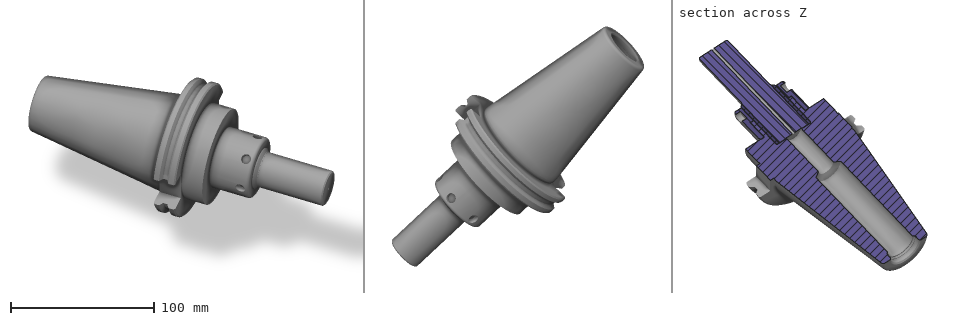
import cadquery as cq
import math

overall_length = 217.8

gauge_diameter = 70.0
gauge_x = 101.7
taper_per_length = 7 / 24
rear_round = 2.2
flange_diameter = 97.5
flange_start_x = 104.7
flange_end_x = 120.9
flange_chamfer = 0.98
neck_depth = 0.5
neck_width = 1.5
groove_center_x = 112.5
groove_floor_width = 3.0
groove_floor_diameter = 91.7
groove_half_angle = 35
collar_end_x = 136.8

slot_width = 25.7
slot_floor_plus_y = 37.7
slot_floor_minus_y = 35.3

mouth_diameter = 27.0
pilot_diameter = 25.0
pilot_depth = 4.4
step_diameter = 24.0
step_depth = 5.9
bore_diameter = 22.0
bore_depth = 87.0
bore_tip_half_angle = 59
through_hole_diameter = 13.0

nose_diameter = 37.0
nose_end_x = 152.5
socket_floor_x = 126.3

nut_diameter = 44.2
nut_end_x = 166.2
nut_front_round = 2.0
nut_rear_chamfer = 0.9
wrench_hole_count = 6
wrench_hole_diameter = 7.0
wrench_hole_depth = 4.4
wrench_hole_x = 160.3

collet_diameter = 30.0
collet_shoulder_x = 167.0
collet_land_x = 168.8
collet_tip_x = 169.5
collet_tip_diameter = 26.0

shank_diameter = 25.5
shank_chamfer = 0.9
coolant_hole_diameter = 2.0


def turned(profile):
    """Solid of revolution about X from a closed (x, radius) outline."""
    return profile.close().revolve(360, (0, 0, 0), (1, 0, 0))


def cylinder(diameter, start_x, end_x):
    """Cylinder on the X axis."""
    return cq.Workplane("YZ", origin=(start_x, 0, 0)).circle(diameter / 2).extrude(end_x - start_x)


def taper_and_collar():
    gauge_radius = gauge_diameter / 2
    rear_radius = gauge_radius - gauge_x * taper_per_length / 2
    neck_radius = gauge_radius - neck_depth
    outline = (
        cq.Workplane("XY")
        .lineTo(0, rear_radius)
        .lineTo(gauge_x, gauge_radius)
        .lineTo(flange_start_x - neck_width, gauge_radius)
        .lineTo(flange_start_x, neck_radius)
        .lineTo(flange_end_x, neck_radius)
        .lineTo(flange_end_x + neck_width, gauge_radius)
        .lineTo(collar_end_x, gauge_radius)
        .lineTo(collar_end_x, 0)
    )
    return turned(outline).faces("<X").edges().fillet(rear_round)


def gripper_groove():
    rim_radius = flange_diameter / 2
    floor_radius = groove_floor_diameter / 2
    floor_half = groove_floor_width / 2
    rim_half = floor_half + (rim_radius - floor_radius) * math.tan(math.radians(groove_half_angle))
    outline = (
        cq.Workplane("XY")
        .moveTo(groove_center_x - rim_half, rim_radius)
        .lineTo(groove_center_x - floor_half, floor_radius)
        .lineTo(groove_center_x + floor_half, floor_radius)
        .lineTo(groove_center_x + rim_half, rim_radius)
    )
    return turned(outline)


def drive_slot(side, floor_y):
    """Cutter for one slot on the +Y (side = 1) or -Y (side = -1) flank of the flange."""
    reach = flange_diameter / 2 - floor_y
    center_x = (flange_start_x + flange_end_x) / 2
    center_y = side * (floor_y + reach / 2)
    return cq.Workplane("XY", origin=(center_x, center_y, 0)).box(
        flange_end_x - flange_start_x, reach, slot_width
    )


def flange():
    disc = cylinder(flange_diameter, flange_start_x, flange_end_x).edges().chamfer(flange_chamfer)
    return (
        disc.cut(gripper_groove())
        .cut(drive_slot(1, slot_floor_plus_y))
        .cut(drive_slot(-1, slot_floor_minus_y))
    )


def holder_bore():
    mouth_chamfer = (mouth_diameter - pilot_diameter) / 2
    pilot_radius = pilot_diameter / 2
    tip_drop = (bore_diameter - through_hole_diameter) / 2
    tip_length = tip_drop / math.tan(math.radians(bore_tip_half_angle))
    outline = (
        cq.Workplane("XY")
        .lineTo(0, mouth_diameter / 2)
        .lineTo(mouth_chamfer, pilot_radius)
        .lineTo(pilot_depth, pilot_radius)
        .lineTo(pilot_depth, step_diameter / 2)
        .lineTo(step_depth, step_diameter / 2)
        .lineTo(step_depth, bore_diameter / 2)
        .lineTo(bore_depth, bore_diameter / 2)
        .lineTo(bore_depth + tip_length, through_hole_diameter / 2)
        .lineTo(socket_floor_x, through_hole_diameter / 2)
        .lineTo(socket_floor_x, 0)
    )
    return turned(outline)


def make_holder():
    nose = cylinder(nose_diameter, collar_end_x, nose_end_x)
    socket = cylinder(collet_diameter, socket_floor_x, nose_end_x)
    return taper_and_collar().union(flange()).union(nose).cut(holder_bore()).cut(socket)


def wrench_hole(angle):
    """Cutter for a blind radial hole; angle 0 points along -Y."""
    floor_radius = nut_diameter / 2 - wrench_hole_depth
    return (
        cq.Workplane("XZ", origin=(wrench_hole_x, -floor_radius, 0))
        .circle(wrench_hole_diameter / 2)
        .extrude(2 * wrench_hole_depth)
        .rotate((0, 0, 0), (1, 0, 0), angle)
    )


def make_nut():
    nut = cylinder(nut_diameter, collar_end_x, nut_end_x)
    nut = nut.faces(">X").edges().fillet(nut_front_round)
    nut = nut.faces("<X").edges().chamfer(nut_rear_chamfer)
    nut = nut.cut(cylinder(nose_diameter, collar_end_x, nose_end_x))
    nut = nut.cut(cylinder(collet_diameter, nose_end_x, nut_end_x))
    for i in range(wrench_hole_count):
        nut = nut.cut(wrench_hole(i * 360 / wrench_hole_count))
    return nut


def make_collet():
    shank_radius = shank_diameter / 2
    outline = (
        cq.Workplane("XY")
        .moveTo(socket_floor_x, shank_radius)
        .lineTo(socket_floor_x, collet_diameter / 2)
        .lineTo(collet_shoulder_x, collet_diameter / 2)
        .lineTo(collet_land_x, collet_tip_diameter / 2)
        .lineTo(collet_tip_x, collet_tip_diameter / 2)
        .lineTo(collet_tip_x, shank_radius)
    )
    return turned(outline)


def make_shank():
    shank = cylinder(shank_diameter, socket_floor_x, overall_length)
    shank = shank.faces(">X").edges().chamfer(shank_chamfer)
    return shank.cut(cylinder(coolant_hole_diameter, socket_floor_x, overall_length))


holder = make_holder()
nut = make_nut()
collet = make_collet()
shank = make_shank()
result = cq.Compound.makeCompound([holder.val(), nut.val(), collet.val(), shank.val()])